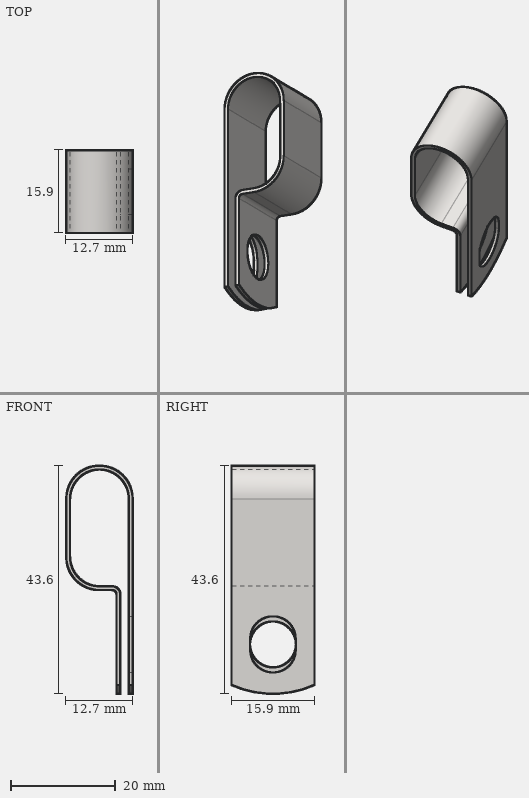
import cadquery as cq

height = 43.6
loop_width = 12.73
strap_width = 15.85
thickness = 0.8

loop_flat = 11.05
leg_gap = 1.55
bend_inner_radius = 0.8
hole_diameter = 8.7
hole_height = 9.45
slot_offset = 1.0
end_rise = 1.7

outer_radius = loop_width / 2
inner_radius = outer_radius - thickness
bend_outer_radius = bend_inner_radius + thickness
upper_center_z = height - outer_radius
lower_center_z = upper_center_z - loop_flat
loop_bottom_z = lower_center_z - outer_radius
short_leg_inside_x = inner_radius - leg_gap
short_leg_outside_x = short_leg_inside_x - thickness
bend_center_x = short_leg_inside_x - bend_outer_radius
bend_center_z = loop_bottom_z - bend_inner_radius


def strap_profile():
    """Bent strip outline in XZ: outer face from the long leg round to the short leg, then back inside."""
    return (
        cq.Workplane("XZ")
        .moveTo(outer_radius, 0)
        .lineTo(outer_radius, upper_center_z)
        .radiusArc((-outer_radius, upper_center_z), -outer_radius)
        .lineTo(-outer_radius, lower_center_z)
        .radiusArc((0, loop_bottom_z), -outer_radius)
        .lineTo(bend_center_x, loop_bottom_z)
        .radiusArc((short_leg_outside_x, bend_center_z), bend_inner_radius)
        .lineTo(short_leg_outside_x, 0)
        .lineTo(short_leg_inside_x, 0)
        .lineTo(short_leg_inside_x, bend_center_z)
        .radiusArc((bend_center_x, loop_bottom_z + thickness), -bend_outer_radius)
        .lineTo(0, loop_bottom_z + thickness)
        .radiusArc((-inner_radius, lower_center_z), inner_radius)
        .lineTo(-inner_radius, upper_center_z)
        .radiusArc((inner_radius, upper_center_z), inner_radius)
        .lineTo(inner_radius, 0)
        .close()
    )


def rounded_end_envelope():
    """Block around the strap whose lower edge is the arc of the leg ends."""
    half_width = strap_width / 2
    return (
        cq.Workplane("YZ")
        .moveTo(-half_width, height)
        .lineTo(-half_width, end_rise)
        .threePointArc((0, 0), (half_width, end_rise))
        .lineTo(half_width, height)
        .close()
        .extrude(outer_radius, both=True)
    )


def screw_hole():
    """Round hole through the short leg."""
    return (
        cq.Workplane("YZ", origin=(short_leg_outside_x, 0, hole_height))
        .circle(hole_diameter / 2)
        .extrude(thickness)
    )


def adjustment_slot():
    """Upright slot through the long leg, as wide as the round hole and centred on it."""
    slot_length = hole_diameter + 2 * slot_offset
    return (
        cq.Workplane("YZ", origin=(inner_radius, 0, hole_height))
        .slot2D(slot_length, hole_diameter, 90)
        .extrude(thickness)
    )


strap = strap_profile().extrude(strap_width / 2, both=True)
result = strap.intersect(rounded_end_envelope()).cut(screw_hole()).cut(adjustment_slot())